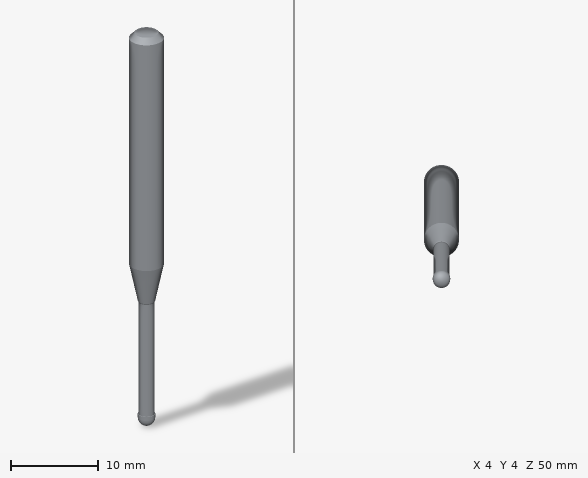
import cadquery as cq
import math

overall_length = 50.0
shank_radius = 2.0
end_chamfer = 0.65
tip_radius = 1.0
neck_diameter = 1.85
neck_radius = neck_diameter / 2
tip_height = 1.35
collar_top = 1.5
neck_top = 15.75
taper_bottom = 15.9
taper_top = 20.6

base_z = -overall_length / 2


def revolve_about_axis(outline):
    """Turn a closed (radius, height) outline into a solid standing on the tool base."""
    return outline.close().revolve(360, (0, 0, 0), (0, 1, 0)).translate((0, 0, base_z))


def make_ball_tip():
    """Short cylinder with a hemispherical lower end."""
    diagonal = tip_radius * math.sqrt(0.5)
    outline = (
        cq.Workplane("XZ")
        .moveTo(0, 0)
        .threePointArc((diagonal, tip_radius - diagonal), (tip_radius, tip_radius))
        .lineTo(tip_radius, tip_height)
        .lineTo(0, tip_height)
    )
    return revolve_about_axis(outline)


def make_shank():
    """Collar, neck, taper and chamfered shank in one piece, resting on the ball tip."""
    outline = (
        cq.Workplane("XZ")
        .moveTo(0, tip_height)
        .lineTo(tip_radius, tip_height)
        .lineTo(tip_radius, collar_top)
        .lineTo(neck_radius, collar_top)
        .lineTo(neck_radius, neck_top)
        .lineTo(tip_radius, taper_bottom)
        .lineTo(shank_radius, taper_top)
        .lineTo(shank_radius, overall_length - end_chamfer)
        .lineTo(shank_radius - end_chamfer, overall_length)
        .lineTo(0, overall_length)
    )
    return revolve_about_axis(outline)


ball_tip = make_ball_tip()
shank = make_shank()
result = cq.Compound.makeCompound([ball_tip.val(), shank.val()])